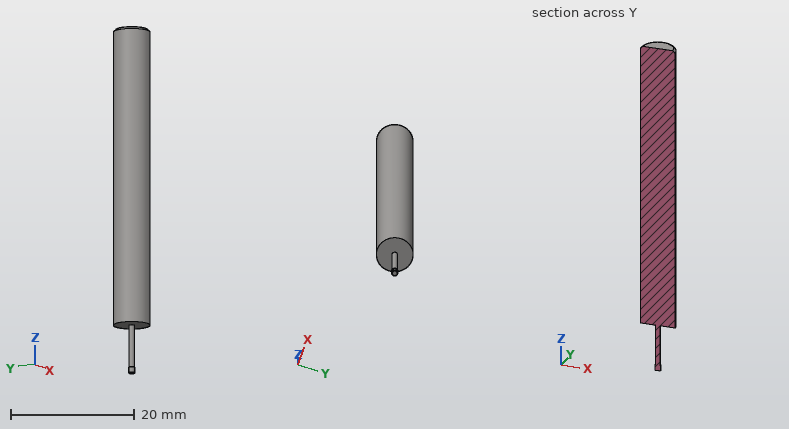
import cadquery as cq

total_length = 57.0
body_diameter = 6.0
lead_length = 8.0
body_length = total_length - lead_length
top_chamfer = 0.4

lead_diameter = 0.9
tip_diameter = 1.0
tip_length = 1.1
tip_chamfer = 0.1


def rod(diameter, bottom, length):
    """Cylinder along Z whose lower face is at the given height."""
    return cq.Workplane("XY", origin=(0, 0, bottom)).circle(diameter / 2).extrude(length)


body = rod(body_diameter, lead_length, body_length).faces(">Z").chamfer(top_chamfer)

tip = rod(tip_diameter, 0, tip_length).faces("<Z or >Z").chamfer(tip_chamfer)

lead = rod(lead_diameter, tip_length, lead_length - tip_length)

result = body.union(lead).union(tip)